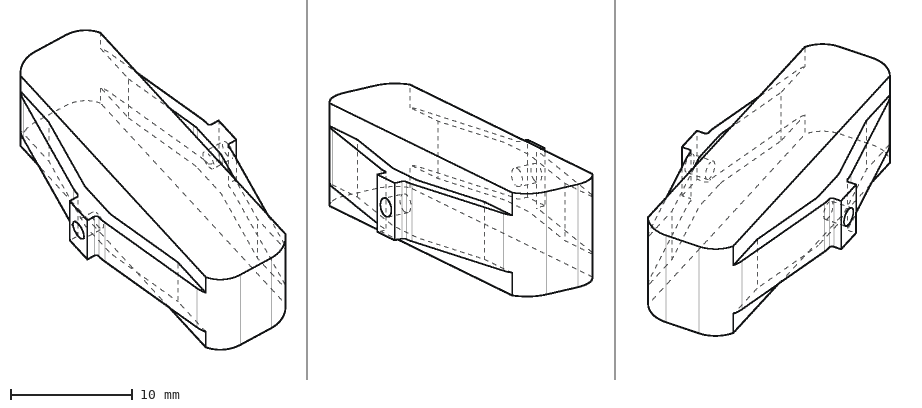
import cadquery as cq
import math

LENGTH = 29.28
HEIGHT = 9.0
BODY_WIDTH = 8.02
OVERALL_WIDTH = 15.0
END_FLAT = 3.1
CORNER_RADIUS = 2.85

BAND_HEIGHT = 5.0
BAND_THICKNESS = 0.97
BAND_CREST = 6.53
BEND_RADIUS = 3.37
CREST_FLAT = 3.1

TAB_WIDTH = 2.55
TAB_FILLET = 0.25
HOLE_DIAMETER = 1.58

corner_x = LENGTH / 2 - CORNER_RADIUS
corner_y = END_FLAT / 2
bend_x = CREST_FLAT / 2
bend_y = BAND_CREST - BEND_RADIUS
run = corner_x - bend_x
rise = bend_y - corner_y
slope = math.atan2(rise, run) + math.asin((BEND_RADIUS - CORNER_RADIUS) / math.hypot(run, rise))
normal = math.pi / 2 - slope

body_face = BODY_WIDTH / 2
tab_face = OVERALL_WIDTH / 2


def on_arc(x, y, radius, angle):
    return (x + radius * math.cos(angle), y + radius * math.sin(angle))


def on_corner(angle):
    return on_arc(corner_x, corner_y, CORNER_RADIUS, angle)


def on_bend(angle, radius=BEND_RADIUS):
    return on_arc(bend_x, bend_y, radius, angle)


def mirrored_solid(quarter, height):
    """Extrude a quarter outline about mid height and mirror it across X and Y."""
    solid = quarter.close().extrude(height / 2, both=True)
    solid = solid.union(solid.mirror("YZ"))
    return solid.union(solid.mirror("XZ"))


def make_envelope(height):
    """Rounded ends joined by bowed sides, filled in."""
    quarter = (
        cq.Workplane("XY")
        .lineTo(LENGTH / 2, 0)
        .lineTo(*on_corner(0))
        .threePointArc(on_corner(normal / 2), on_corner(normal))
        .lineTo(*on_bend(normal))
        .threePointArc(on_bend((normal + math.pi / 2) / 2), on_bend(math.pi / 2))
        .lineTo(0, BAND_CREST)
    )
    return mirrored_solid(quarter, height)


def make_gaps():
    """Space inside the bowed arms, measured to the centre plane."""
    inner_radius = BEND_RADIUS - BAND_THICKNESS
    arm_start = on_bend(normal, inner_radius)
    reach = arm_start[0] + (arm_start[1] - body_face) / math.tan(slope)
    quarter = (
        cq.Workplane("XY")
        .lineTo(reach, 0)
        .lineTo(reach, body_face)
        .lineTo(*arm_start)
        .threePointArc(
            on_bend((normal + math.pi / 2) / 2, inner_radius),
            on_bend(math.pi / 2, inner_radius),
        )
        .lineTo(0, BAND_CREST - BAND_THICKNESS)
    )
    return mirrored_solid(quarter, BAND_HEIGHT)


def make_tabs():
    """Tabs on both crests, with filleted roots."""
    half = TAB_WIDTH / 2
    fillet_y = BAND_CREST + TAB_FILLET
    fillet_offset = TAB_FILLET * (1 - math.sqrt(0.5))
    root = BAND_CREST - BAND_THICKNESS / 2
    quarter = (
        cq.Workplane("XY")
        .moveTo(0, root)
        .lineTo(half + TAB_FILLET, root)
        .lineTo(half + TAB_FILLET, BAND_CREST)
        .threePointArc((half + fillet_offset, BAND_CREST + fillet_offset), (half, fillet_y))
        .lineTo(half, tab_face)
        .lineTo(0, tab_face)
    )
    return mirrored_solid(quarter, BAND_HEIGHT)


band = make_envelope(BAND_HEIGHT).cut(make_gaps()).union(make_tabs())
hole = cq.Workplane("XZ").circle(HOLE_DIAMETER / 2).extrude(tab_face, both=True)
band = band.cut(hole)

body = make_envelope(HEIGHT).intersect(cq.Workplane("XY").box(LENGTH, BODY_WIDTH, HEIGHT))

result = body.union(band)